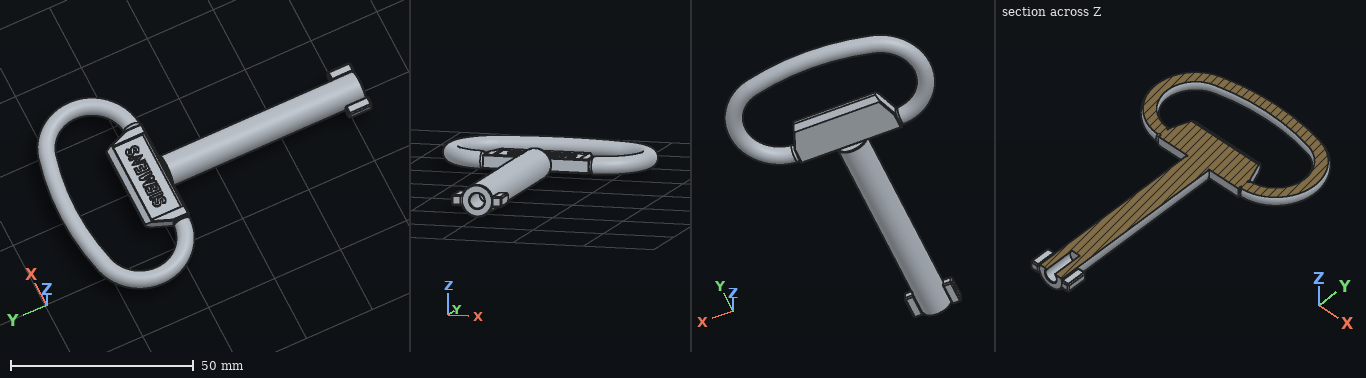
import cadquery as cq
import math


bar_diameter = 5.0
ring_width = 60.0
corner_radius = 15.0
ring_top = 31.87
neck_length = 0.8
neck_step = 0.5

head_thickness = 4.0
head_height = 12.0
head_top_half_width = 12.2
head_side_height = 4.8
head_chamfer = 0.3
bevel_length = 1.75
bevel_drop = 1.35

panel_half_width = 12.25
panel_bottom = 0.5
panel_draft_bottom = 0.6
panel_draft = 0.25
panel_depth = 0.4

shaft_diameter = 9.0
shaft_length = 58.9
shaft_chamfer = 0.25
bore_diameter = 4.2
bore_depth = 10.0
bore_chamfer = 0.2
bit_length = 7.0
bit_thickness = 3.0
bit_reach = 7.1
bit_root = 4.2
bit_overhang = 0.5
bit_chamfer = 0.4

cap_height = 3.7
letter_center_y = 5.8
stroke = 0.75
s_tip_angle = math.radians(30)
e_width = 1.85
e_arm = 0.7
m_width = 3.9
m_peak_x = 0.85
m_notch_y = -0.7
m_inner_y = 0.5
n_width = 3.0
n_diagonal_drop = 1.2

bar_radius = bar_diameter / 2
corner_center_x = ring_width / 2 - corner_radius
bend_radius = corner_radius - bar_radius
head_top_z = head_thickness / 2
panel_top = head_height - bevel_length
panel_floor_z = head_top_z - panel_depth


def make_ring():
    rise = ring_top - 2 * corner_radius
    center_drop = (corner_center_x**2 - rise**2) / (2 * rise)
    tangent_angle = math.atan2(corner_center_x, center_drop)
    side_x = corner_center_x + bend_radius
    joint_x = corner_center_x + bend_radius * math.sin(tangent_angle)
    joint_y = corner_radius + bend_radius * math.cos(tangent_angle)
    path = (
        cq.Workplane("XY")
        .moveTo(-corner_center_x, bar_radius)
        .radiusArc((-side_x, corner_radius), bend_radius)
        .radiusArc((-joint_x, joint_y), bend_radius)
        .threePointArc((0, ring_top - bar_radius), (joint_x, joint_y))
        .radiusArc((side_x, corner_radius), bend_radius)
        .radiusArc((corner_center_x, bar_radius), bend_radius)
    )
    ring = (
        cq.Workplane("YZ", origin=(-corner_center_x, bar_radius, 0))
        .circle(bar_radius)
        .sweep(path)
    )
    return ring.faces("%PLANE").edges().chamfer(neck_length, neck_step)


def make_head():
    outline = [
        (-corner_center_x, 0),
        (corner_center_x, 0),
        (corner_center_x, head_side_height),
        (head_top_half_width, head_height),
        (-head_top_half_width, head_height),
        (-corner_center_x, head_side_height),
    ]
    plate = (
        cq.Workplane("XY")
        .workplane(offset=-head_top_z)
        .polyline(outline)
        .close()
        .extrude(head_thickness)
        .faces("|Z")
        .edges("not >Y")
        .chamfer(head_chamfer)
    )
    bevel = (
        cq.Workplane("YZ")
        .polyline([
            (panel_top, head_top_z),
            (head_height, head_top_z),
            (head_height, head_top_z - bevel_drop),
        ])
        .close()
        .extrude(corner_center_x, both=True)
    )
    lower_bevel = bevel.mirror("XY")
    return plate.cut(bevel).cut(lower_bevel).cut(make_panel_recess())


def make_panel_recess():
    def rectangle(workplane, half_width, bottom, top):
        return workplane.polyline([
            (-half_width, bottom),
            (half_width, bottom),
            (half_width, top),
            (-half_width, top),
        ]).close()

    opening = rectangle(
        cq.Workplane("XY", origin=(0, 0, head_top_z)), panel_half_width, panel_bottom, panel_top
    )
    return rectangle(
        opening.workplane(offset=-panel_depth),
        panel_half_width - panel_draft,
        panel_bottom + panel_draft_bottom,
        panel_top - panel_draft,
    ).loft(combine=True)


def make_shaft():
    radius = shaft_diameter / 2
    bore_radius = bore_diameter / 2
    half_section = [
        (0, 0),
        (0, radius - shaft_chamfer),
        (-shaft_chamfer, radius),
        (shaft_chamfer - shaft_length, radius),
        (-shaft_length, radius - shaft_chamfer),
        (-shaft_length, bore_radius + bore_chamfer),
        (bore_chamfer - shaft_length, bore_radius),
        (bore_depth - shaft_length, bore_radius),
        (bore_depth - shaft_length, 0),
    ]
    return cq.Workplane("YZ").polyline(half_section).close().revolve(360, (0, 0), (1, 0))


def make_bit(side):
    width = bit_reach - bit_root
    center_y = -shaft_length - bit_overhang + bit_length / 2
    return (
        cq.Workplane("XY", origin=(side * (bit_root + width / 2), center_y, 0))
        .box(width, bit_length, bit_thickness)
        .edges()
        .chamfer(bit_chamfer)
    )


def make_key():
    key = make_shaft().union(make_head()).union(make_ring())
    for side in (-1, 1):
        key = key.union(make_bit(side))
    return key


def letter_sketch(center_x):
    return cq.Workplane("XY", origin=(center_x, letter_center_y, panel_floor_z))


def make_bar_letter(points, center_x):
    return letter_sketch(center_x).polyline(points).close().extrude(panel_depth)


def make_s(center_x):
    lobe_radius = (cap_height - stroke) / 4
    tip_x = lobe_radius * math.cos(s_tip_angle)
    tip_y = lobe_radius * (1 + math.sin(s_tip_angle))
    center_line = (
        letter_sketch(center_x)
        .moveTo(tip_x, tip_y)
        .threePointArc((-lobe_radius, lobe_radius), (0, 0))
        .threePointArc((lobe_radius, -lobe_radius), (-tip_x, -tip_y))
    )
    return center_line.offset2D(stroke / 2).extrude(panel_depth)


def make_i(center_x):
    return letter_sketch(center_x).rect(stroke, cap_height).extrude(panel_depth)


def make_e(center_x):
    left = -e_width / 2
    right = e_width / 2
    half_height = cap_height / 2
    arm_inner = half_height - e_arm
    points = [
        (left, -half_height),
        (right, -half_height),
        (right, -arm_inner),
        (left + stroke, -arm_inner),
        (left + stroke, -e_arm / 2),
        (right, -e_arm / 2),
        (right, e_arm / 2),
        (left + stroke, e_arm / 2),
        (left + stroke, arm_inner),
        (right, arm_inner),
        (right, half_height),
        (left, half_height),
    ]
    return make_bar_letter(points, center_x)


def make_m(center_x):
    half_width = m_width / 2
    half_height = cap_height / 2
    right_half = [
        (0, m_notch_y),
        (m_peak_x, half_height),
        (m_peak_x + stroke, half_height),
        (half_width, -half_height),
        (half_width - stroke, -half_height),
        (m_peak_x, m_inner_y),
        (stroke / 2, -half_height),
    ]
    left_half = [(-x, y) for x, y in reversed(right_half[1:])]
    return make_bar_letter(right_half + left_half, center_x)


def make_n(center_x):
    half_width = n_width / 2
    half_height = cap_height / 2
    inner_x = half_width - stroke
    half_outline = [
        (-half_width, -half_height),
        (-inner_x, -half_height),
        (-inner_x, half_height - n_diagonal_drop),
        (inner_x, -half_height),
    ]
    other_half = [(-x, -y) for x, y in half_outline]
    return make_bar_letter(half_outline + other_half, center_x)


key = make_key()
letter_row = [
    (make_s, -8.15),
    (make_i, -6.3),
    (make_e, -4.2),
    (make_m, -0.95),
    (make_e, 2.65),
    (make_n, 5.65),
    (make_s, 8.7),
]
letters = [make_letter(center_x) for make_letter, center_x in letter_row]
result = cq.Compound.makeCompound([key.val(), *[letter.val() for letter in letters]])